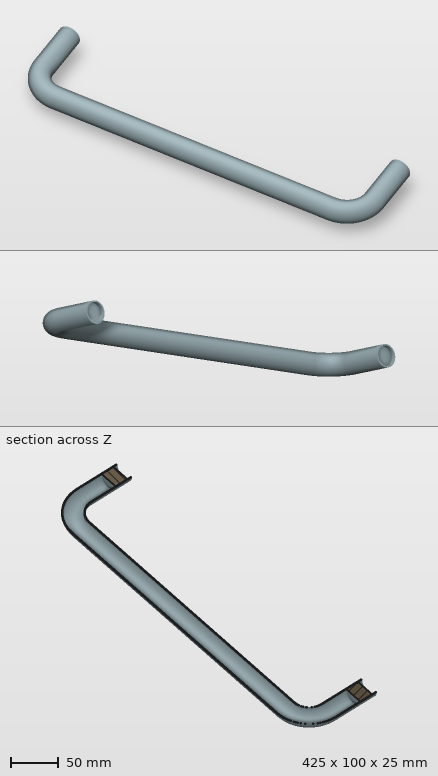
import cadquery as cq

overall_length = 425.0
overall_depth = 100.0
tube_diameter = 25.0
wall_thickness = 1.5
bend_radius = 32.7
plug_recess = 5.0
plug_length = 16.5

bore_diameter = tube_diameter - 2 * wall_thickness
leg_x = (overall_length - tube_diameter) / 2
leg_end_y = overall_depth - tube_diameter / 2


def bent_rod(diameter):
    """Solid rod of the given diameter along the U-shaped handle centreline."""
    corner_drop = bend_radius * (1 - 0.5 ** 0.5)
    bend_start_x = leg_x - bend_radius
    centreline = (
        cq.Workplane("XY")
        .moveTo(-leg_x, leg_end_y)
        .lineTo(-leg_x, bend_radius)
        .threePointArc((-leg_x + corner_drop, corner_drop), (-bend_start_x, 0))
        .lineTo(bend_start_x, 0)
        .threePointArc((leg_x - corner_drop, corner_drop), (leg_x, bend_radius))
        .lineTo(leg_x, leg_end_y)
    )
    return (
        cq.Workplane("XZ", origin=(-leg_x, leg_end_y, 0))
        .circle(diameter / 2)
        .sweep(centreline)
    )


def end_plug(x):
    """Round plug filling the bore of the leg at x, set back from its open end."""
    return (
        cq.Workplane("XZ", origin=(x, leg_end_y - plug_recess, 0))
        .circle(bore_diameter / 2)
        .extrude(plug_length)
    )


handle = bent_rod(tube_diameter).cut(bent_rod(bore_diameter))

plugs = [end_plug(x).val() for x in (-leg_x, leg_x)]

result = cq.Compound.makeCompound([handle.val(), *plugs])